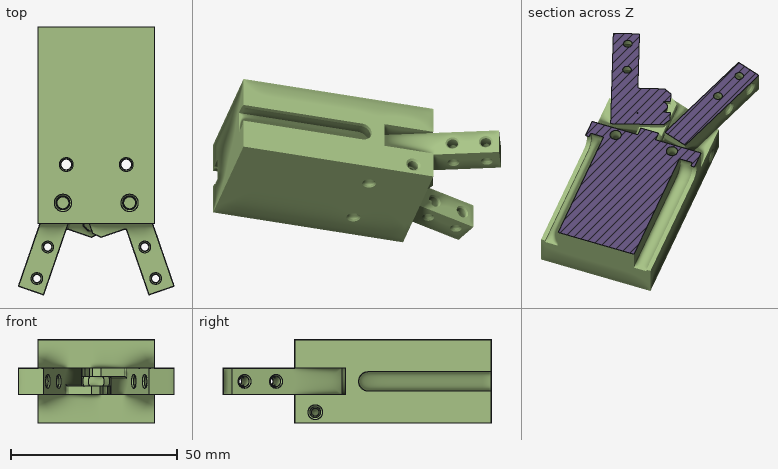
import cadquery as cq
import math

BODY_WIDTH = 35.0
BODY_LENGTH = 59.0
BODY_HEIGHT = 25.0
MID_Z = BODY_HEIGHT / 2

JAW_SLOT_DEPTH = 15.2
FINGER_HEIGHT = 8.0
FINGER_BOTTOM = MID_Z - FINGER_HEIGHT / 2
FINGER_TOP = MID_Z + FINGER_HEIGHT / 2

GROOVE_MOUTH_WIDTH = 5.8
GROOVE_CHANNEL_WIDTH = 7.2
GROOVE_LIP = 1.3
GROOVE_DEPTH = 5.3
GROOVE_LENGTH = 39.8

M3_BORE = 2.46
M3_MOUTH = 3.5
M4_BORE = 3.24
M4_MOUTH = 4.13
MOUNT_HOLE_X = 9.0
MOUNT_HOLE_Y = 17.7

PIVOT_X = 10.0
PIVOT_Y = 6.2
PIN_DIAMETER = 4.13
PIN_TIP_DIAMETER = 3.6
PIN_MOUTH = 5.2
LOCK_HOLE_Z = 3.25
LOCK_BORE_DEPTH = 3.5
LOCK_MOUTH = 4.4
LOCK_PILOT_DIAMETER = 2.3
LOCK_PILOT_DEPTH = 1.5
DRILL_POINT_ANGLE = 118.0

FINGER_ANGLE = 19.0
FINGER_FRONT = 28.0
FINGER_BACK = 7.0
FINGER_INNER = 3.5
FINGER_OUTER = 4.5
FINGER_HOLE_DISTANCES = (14.0, 24.0)

LEVER_THICKNESS = 2.6
LEVER_REACH = 13.45
LEVER_CHAMFER = 2.0
LEVER_ROOT_RADIUS = 0.5

ROD_DIAMETER = 8.0
ROD_TIP_Y = -2.3
ROD_TIP_CHAMFER = 1.6
TONGUE_THICKNESS = FINGER_HEIGHT - 2 * LEVER_THICKNESS
TONGUE_END_Y = 12.5
CROSS_PIN_DIAMETER = 4.0
CROSS_PIN_Y = PIVOT_Y - PIVOT_X * math.tan(math.radians(FINGER_ANGLE))
CROSS_PIN_DISTANCE = PIVOT_X / math.cos(math.radians(FINGER_ANGLE))


def both_sides(shape):
    """The shape together with its mirror image about the middle plane X = 0."""
    return shape.union(shape.mirror("YZ"))


def box(x_range, y_range, z_range):
    """An axis-aligned box given by its limits."""
    size = [high - low for low, high in (x_range, y_range, z_range)]
    corner = (x_range[0], y_range[0], z_range[0])
    return cq.Workplane("XY").box(*size, centered=False).translate(corner)


def cylinder(start, direction, diameter, length):
    return cq.Workplane(cq.Solid.makeCylinder(diameter / 2, length, cq.Vector(*start), cq.Vector(*direction)))


def cone(start, direction, start_diameter, end_diameter, length):
    solid = cq.Solid.makeCone(
        start_diameter / 2, end_diameter / 2, length, cq.Vector(*start), cq.Vector(*direction)
    )
    return cq.Workplane(solid)


def tapped_hole(start, direction, bore, mouth, length):
    """A through hole's cutter, with a 45 degree countersink at both ends."""
    end = [s + d * length for s, d in zip(start, direction)]
    back = [-d for d in direction]
    sink = (mouth - bore) / 2
    hole = cylinder(start, direction, bore, length)
    hole = hole.union(cone(start, direction, mouth, bore, sink))
    return hole.union(cone(end, back, mouth, bore, sink))


def groove_channel(width, depth_range):
    """A channel open at the rear face, with a round front end."""
    near, far = depth_range
    round_end_y = BODY_LENGTH - GROOVE_LENGTH + GROOVE_MOUTH_WIDTH / 2
    left = -BODY_WIDTH / 2
    z_range = (MID_Z - width / 2, MID_Z + width / 2)
    channel = box((left + near, left + far), (round_end_y, BODY_LENGTH), z_range)
    return channel.union(cylinder((left + near, round_end_y, MID_Z), (1, 0, 0), width, far - near))


def sensor_groove():
    mouth = groove_channel(GROOVE_MOUTH_WIDTH, (0, GROOVE_DEPTH))
    return mouth.union(groove_channel(GROOVE_CHANNEL_WIDTH, (GROOVE_LIP, GROOVE_DEPTH)))


def pivot_recess():
    """The countersink of a pivot hole, from which the pin's 45 degree chamfered tip stands up."""
    up = (0, 0, 1)
    sink = (PIN_MOUTH - PIN_DIAMETER) / 2
    tip_height = (PIN_DIAMETER - PIN_TIP_DIAMETER) / 2
    bottom = (-PIVOT_X, PIVOT_Y, BODY_HEIGHT - sink)
    countersink = cone(bottom, up, PIN_DIAMETER, PIN_MOUTH, sink)
    return countersink.cut(cone(bottom, up, PIN_DIAMETER, PIN_TIP_DIAMETER, tip_height))


def lock_hole():
    """A countersunk blind bore with a smaller drilled pilot at its bottom."""
    inward = (1, 0, 0)
    left = -BODY_WIDTH / 2
    pilot_start = left + LOCK_BORE_DEPTH
    point_start = pilot_start + LOCK_PILOT_DEPTH
    point_length = LOCK_PILOT_DIAMETER / 2 / math.tan(math.radians(DRILL_POINT_ANGLE / 2))
    sink = (LOCK_MOUTH - M4_BORE) / 2
    hole = cylinder((left, PIVOT_Y, LOCK_HOLE_Z), inward, M4_BORE, LOCK_BORE_DEPTH)
    hole = hole.union(cone((left, PIVOT_Y, LOCK_HOLE_Z), inward, LOCK_MOUTH, M4_BORE, sink))
    hole = hole.union(
        cylinder((pilot_start, PIVOT_Y, LOCK_HOLE_Z), inward, LOCK_PILOT_DIAMETER, LOCK_PILOT_DEPTH)
    )
    return hole.union(cone((point_start, PIVOT_Y, LOCK_HOLE_Z), inward, LOCK_PILOT_DIAMETER, 0, point_length))


def body():
    half_width = BODY_WIDTH / 2
    block = box((-half_width, half_width), (0, BODY_LENGTH), (0, BODY_HEIGHT))
    jaw_slot = box((-half_width, half_width), (0, JAW_SLOT_DEPTH), (FINGER_BOTTOM, FINGER_TOP))
    mount_hole = tapped_hole((-MOUNT_HOLE_X, MOUNT_HOLE_Y, 0), (0, 0, 1), M4_BORE, M4_MOUTH, BODY_HEIGHT)
    block = block.cut(jaw_slot)
    for feature in (sensor_groove(), mount_hole, pivot_recess(), lock_hole()):
        block = block.cut(both_sides(feature))
    return block


def lever():
    """The left finger's lever, reaching inward (+X) from the pivot along the finger's bottom face."""
    outline = [
        (0, -FINGER_BACK),
        (LEVER_REACH - LEVER_CHAMFER, -FINGER_BACK),
        (LEVER_REACH, LEVER_CHAMFER - FINGER_BACK),
        (LEVER_REACH, FINGER_BACK - LEVER_CHAMFER),
        (LEVER_REACH - LEVER_CHAMFER, FINGER_BACK),
        (0, FINGER_BACK),
    ]
    plate = cq.Workplane("XY").polyline(outline).close().extrude(LEVER_THICKNESS)
    half_slot = CROSS_PIN_DIAMETER / 2
    pin_slot = box((CROSS_PIN_DISTANCE, LEVER_REACH), (-half_slot, half_slot), (0, LEVER_THICKNESS))
    pin_slot = pin_slot.union(
        cylinder((CROSS_PIN_DISTANCE, 0, 0), (0, 0, 1), CROSS_PIN_DIAMETER, LEVER_THICKNESS)
    )
    return plate.cut(pin_slot)


def closed_finger():
    """The left finger around its pivot axis, pointing to -Y, with its bottom face at Z = 0."""
    finger = box((-FINGER_OUTER, FINGER_INNER), (-FINGER_FRONT, FINGER_BACK), (0, FINGER_HEIGHT))
    finger = finger.union(lever())
    front_root = cq.selectors.NearestToPointSelector((FINGER_INNER, -FINGER_BACK, LEVER_THICKNESS / 2))
    top_root = cq.selectors.NearestToPointSelector((FINGER_INNER, 0, LEVER_THICKNESS))
    finger = finger.edges(front_root + top_root).fillet(LEVER_ROOT_RADIUS)
    width = FINGER_OUTER + FINGER_INNER
    for distance in FINGER_HOLE_DISTANCES:
        finger = finger.cut(tapped_hole((0, -distance, 0), (0, 0, 1), M3_BORE, M3_MOUTH, FINGER_HEIGHT))
        side_start = (-FINGER_OUTER, -distance, FINGER_HEIGHT / 2)
        finger = finger.cut(tapped_hole(side_start, (1, 0, 0), M4_BORE, M4_MOUTH, width))
    return finger


def left_finger():
    finger = closed_finger().rotate((0, 0, 0), (0, 0, 1), -FINGER_ANGLE)
    return finger.translate((-PIVOT_X, PIVOT_Y, FINGER_BOTTOM))


def right_finger():
    """The left finger turned over about the rod axis, which puts its lever on top."""
    return left_finger().rotate((0, 0, MID_Z), (0, 1, MID_Z), 180)


def rod():
    radius = ROD_DIAMETER / 2
    shaft = cylinder((0, ROD_TIP_Y, MID_Z), (0, 1, 0), ROD_DIAMETER, JAW_SLOT_DEPTH - ROD_TIP_Y)
    shaft = shaft.faces("<Y").chamfer(ROD_TIP_CHAMFER)
    half_tongue = TONGUE_THICKNESS / 2
    below = box((-radius, radius), (ROD_TIP_Y, TONGUE_END_Y), (FINGER_BOTTOM, MID_Z - half_tongue))
    above = box((-radius, radius), (ROD_TIP_Y, TONGUE_END_Y), (MID_Z + half_tongue, FINGER_TOP))
    cross_pin = cylinder((0, CROSS_PIN_Y, FINGER_BOTTOM), (0, 0, 1), CROSS_PIN_DIAMETER, FINGER_HEIGHT)
    return shaft.cut(below).cut(above).union(cross_pin)


result = body().union(left_finger()).union(right_finger()).union(rod())